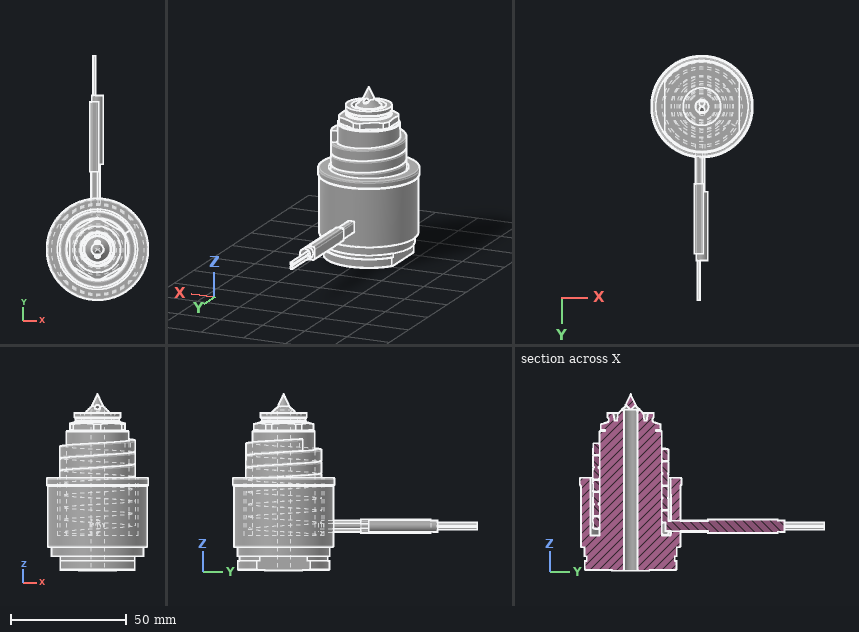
import cadquery as cq
import math


base_pad_radius = 8.1
foot_radius = 19.8
foot_neck_radius = 19.1
foot_half_width = 16.1
shoulder_radius = 19.9
housing_radius = 21.5
flange_diameter = 44.0
flange_radius = flange_diameter / 2
recess_radius = 17.3
stem_radius = 13.5
stem_neck_radius = 11.0
hex_across_flats = 23.8
hex_corner_radius = 13.0
ring_radius = 10.0
ring_groove_radius = 9.5
cup_mouth_radius = 7.5
cup_floor_radius = 6.9
torpedo_radius = 5.6
torpedo_foot_radius = 6.0
tip_radius = 2.5
bore_radius = 2.8
tip_hole_diameter = 2.4

foot_bottom = 0.3
foot_top = 4.3
shoulder_bottom = 6.2
housing_bottom = 10.1
flange_bottom = 37.1
flange_top = 40.2
recess_floor = 15.3
stem_top = 60.3
hex_bottom = 60.7
hex_top = 63.3
ring_groove_bottom = 64.7
ring_bottom = 66.1
ring_top = 68.2
cup_floor = 64.8
tip_base = 71.0
tip_top = 76.3
bore_top = 69.4
outlet_origin = 67.6

foot_chamfer = 0.4
housing_fillet = 0.7
flange_fillet = 0.6
flange_underside_height = 0.5
stem_chamfer = 0.3

strip_height = 5.2
strip_fillet = 0.5
coil_pitch = 5.3
coil_radius = 16.4
coil_start_height = 18.3
coil_start_angle = 90
coil_end_angle = 30
coil_full_turns = 6
lead_height = 19.3
lead_offset = -1.4
core_radius = 1.2
sleeve_width = 3.9
sleeve_height = 6.0
sleeve_fillet = 1.0
sleeve_start = 33.3
sleeve_end = 63.5
ferrule_radius = 2.5
ferrule_start = 36.6
ferrule_end = 66.4
wire_diameter = 1.3
wire_spacing = 2.0
overall_length = 105.5

wire_end = overall_length - flange_radius
strip_width = coil_radius - stem_radius
coil_middle_radius = (coil_radius + stem_radius) / 2


def disc(radius, bottom, top):
    """Cylinder on the nozzle axis."""
    return cq.Workplane("XY").workplane(offset=bottom).circle(radius).extrude(top - bottom)


def turned(points):
    """Solid of revolution about Z from (radius, height) points."""
    return cq.Workplane("XZ").polyline(points).close().revolve(360, (0, 0), (0, 1))


def make_foot():
    """Grooved foot with a wrench flat on each side."""
    foot = disc(foot_radius, foot_bottom, foot_top).faces("<Z").edges().chamfer(foot_chamfer)
    foot = foot.union(disc(foot_neck_radius, foot_top, shoulder_bottom))
    flats = cq.Workplane("XY").box(
        2 * foot_half_width, 2 * foot_radius, shoulder_bottom, centered=(True, True, False)
    )
    return foot.intersect(flats).union(disc(base_pad_radius, 0, foot_bottom))


def make_housing():
    """Housing drum with its flange and shoulder, and the ring-shaped recess for the coil."""
    drum = disc(housing_radius, housing_bottom, flange_bottom)
    drum = drum.faces("<Z").edges().fillet(housing_fillet)
    flange = disc(flange_radius, flange_bottom, flange_top).faces(">Z").edges().fillet(flange_fillet)
    underside = turned([
        (0, flange_bottom - flange_underside_height),
        (housing_radius, flange_bottom - flange_underside_height),
        (flange_radius, flange_bottom),
        (0, flange_bottom),
    ])
    shoulder = disc(shoulder_radius, shoulder_bottom, housing_bottom)
    recess = disc(recess_radius, recess_floor, flange_top)
    return shoulder.union(drum).union(underside).union(flange).cut(recess)


def make_stem():
    """Stem that carries the coil, with the neck under the hexagon."""
    stem = disc(stem_radius, recess_floor, stem_top).faces(">Z").edges().chamfer(stem_chamfer)
    return stem.union(disc(stem_neck_radius, stem_top, hex_bottom))


def make_head():
    """Hexagon with rounded corners on the Y axis, and the cupped ring above it."""
    groove_chamfer = ring_radius - ring_groove_radius
    cone_top = ring_groove_bottom - groove_chamfer
    groove_top = ring_bottom - groove_chamfer
    head = turned([
        (0, hex_bottom),
        (hex_corner_radius, hex_bottom),
        (hex_corner_radius, hex_top),
        (ring_radius, cone_top),
        (ring_groove_radius, ring_groove_bottom),
        (ring_groove_radius, groove_top),
        (ring_radius, ring_bottom),
        (ring_radius, ring_top),
        (cup_mouth_radius, ring_top),
        (cup_floor_radius, cup_floor),
        (0, cup_floor),
    ])
    half_corner_angle = 30
    hexagon_diameter = hex_across_flats / math.cos(math.radians(half_corner_angle))
    hexagon = (
        cq.Workplane("XY").workplane(offset=hex_bottom)
        .polygon(6, hexagon_diameter).extrude(ring_top - hex_bottom)
        .rotate((0, 0, 0), (0, 0, 1), half_corner_angle)
    )
    return head.intersect(hexagon)


def make_torpedo():
    """Pointed tip standing in the cup: a steep cone on a 45 degree cone on a slightly flared foot."""
    cone_base = tip_base - (torpedo_radius - tip_radius)
    return turned([
        (0, cup_floor),
        (torpedo_foot_radius, cup_floor),
        (torpedo_radius, cone_base),
        (tip_radius, tip_base),
        (0, tip_top),
    ])


def make_flow_channel():
    """Bore from the base, with two outlets that rise at 45 degrees to the tip cone."""
    channel = disc(bore_radius, 0, bore_top)
    for side in (-1, 1):
        outlet = cq.Solid.makeCylinder(
            tip_hole_diameter / 2, torpedo_radius, cq.Vector(0, 0, outlet_origin), cq.Vector(0, side, 1)
        )
        channel = channel.union(cq.Workplane(outlet))
    return channel


def strip_outline(plane):
    """Cross-section of the heater strip, with rounded corners."""
    return plane.sketch().rect(strip_width, strip_height).vertices().fillet(strip_fillet).finalize()


def along_lead(x, start):
    """Workplane across the lead at y = start, where a negative extrusion runs toward +Y."""
    return cq.Workplane("XZ", origin=(x, start, lead_height))


def make_lead():
    """Straight tail of the strip and the round core beside it, from the coil to the sleeve."""
    tail = strip_outline(along_lead(lead_offset, coil_middle_radius)).extrude(coil_middle_radius - sleeve_end)
    core = along_lead(0, coil_middle_radius).circle(core_radius).extrude(coil_middle_radius - ferrule_end)
    return tail.union(core)


def make_coil():
    """Strip wound up the stem as a right-handed helix."""
    turns = coil_full_turns + (coil_end_angle - coil_start_angle) % 360 / 360
    path = cq.Workplane(cq.Wire.makeHelix(coil_pitch, turns * coil_pitch, coil_middle_radius))
    section = strip_outline(cq.Workplane("XZ", origin=(coil_middle_radius, 0, 0)))
    coil = section.sweep(path, isFrenet=True)
    return coil.rotate((0, 0, 0), (0, 0, 1), coil_start_angle).translate((0, 0, coil_start_height))


def make_cable():
    """Sleeve over the end of the lead, the ferrule in it and the two wires."""
    sleeve = (
        along_lead(lead_offset, sleeve_start).rect(sleeve_width, sleeve_height)
        .extrude(sleeve_start - sleeve_end).edges("|Y").fillet(sleeve_fillet)
    )
    ferrule = along_lead(0, ferrule_start).circle(ferrule_radius).extrude(ferrule_start - ferrule_end)
    cable = sleeve.union(ferrule)
    for side in (-1, 1):
        wire = (
            along_lead(lead_offset, ferrule_start).center(0, side * wire_spacing / 2)
            .circle(wire_diameter / 2).extrude(ferrule_start - wire_end)
        )
        cable = cable.union(wire)
    return cable


lead = make_lead()

nozzle = make_foot().union(make_housing()).union(make_stem()).union(make_head()).union(make_torpedo())
nozzle = nozzle.cut(make_flow_channel()).cut(lead)

heater = make_coil().union(lead).union(make_cable())

result = cq.Compound.makeCompound([nozzle.val(), heater.val()])